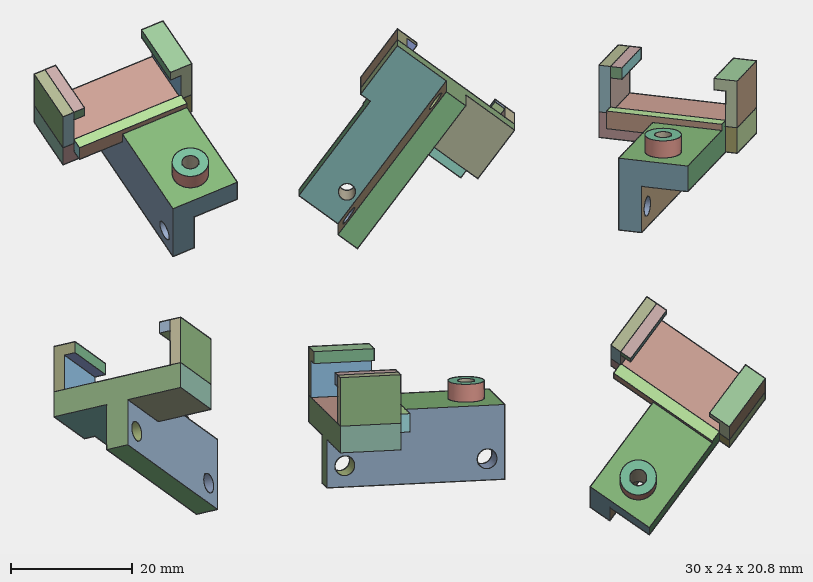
import cadquery as cq

length = 30.0
width = 24.0
height = 20.82

deck_top = 12.63
plate_thickness = 4.5
plate_bottom = deck_top - plate_thickness
holder_length = 10.2
web_thickness = 4.0
web_front = (width - web_thickness) / 2
arm_width = 12.0

wall_thickness = 2.0
wall_height = height - deck_top
lip_reach = 2.0
lip_thickness = 2.0

stop_length = 2.0
stop_height = 3.1
stop_rise = 1.08
arm_back = web_front + arm_width

web_hole_diameter = 3.3
web_hole_inset = 3.0
web_hole_height = 3.6
boss_diameter = 6.0
boss_height = 3.0
boss_hole_diameter = 2.8
boss_x = 24.78
boss_y = web_front + arm_width / 2


def block(x, y, z, size_x, size_y, size_z):
    """Box with its lowest corner at (x, y, z)."""
    return cq.Workplane("XY").box(size_x, size_y, size_z, centered=False).translate((x, y, z))


def make_base():
    """Plates, web, stop bar and boss as one solid, with all holes."""
    cross_plate = block(0, 0, plate_bottom, holder_length, width, plate_thickness)
    web = block(0, web_front, 0, length, web_thickness, deck_top)
    arm = block(0, web_front, plate_bottom, length, arm_width, plate_thickness)
    stop_bar = block(
        holder_length, wall_thickness, deck_top + stop_rise - stop_height,
        stop_length, arm_back - wall_thickness, stop_height,
    )
    boss_axis = cq.Workplane("XY").center(boss_x, boss_y)
    boss = boss_axis.circle(boss_diameter / 2).extrude(boss_height).translate((0, 0, deck_top))
    boss_hole = boss_axis.circle(boss_hole_diameter / 2).extrude(deck_top + boss_height)
    web_holes = (
        cq.Workplane("XZ")
        .pushPoints([(x, web_hole_height) for x in (web_hole_inset, length - web_hole_inset)])
        .circle(web_hole_diameter / 2)
        .extrude(-width)
    )
    solid = cross_plate.union(web).union(arm).union(stop_bar).union(boss)
    return solid.cut(boss_hole).cut(web_holes)


def make_hooked_wall():
    """Rear wall (+Y) with its lip in one piece."""
    wall = block(0, width - wall_thickness, deck_top, holder_length, wall_thickness, wall_height)
    lip = block(
        0, width - wall_thickness - lip_reach, height - lip_thickness,
        holder_length, lip_reach, lip_thickness,
    )
    return wall.union(lip)


def make_plain_wall():
    """Front wall (-Y), which carries a separate lip."""
    return block(0, 0, deck_top, holder_length, wall_thickness, wall_height)


def make_front_lip():
    """Separate lip on the inner face of the front wall."""
    return block(0, wall_thickness, height - lip_thickness, holder_length, lip_reach, lip_thickness)


base = make_base()
hooked_wall = make_hooked_wall()
plain_wall = make_plain_wall()
front_lip = make_front_lip()

result = cq.Compound.makeCompound([
    base.val(),
    hooked_wall.val(),
    plain_wall.val(),
    front_lip.val(),
])